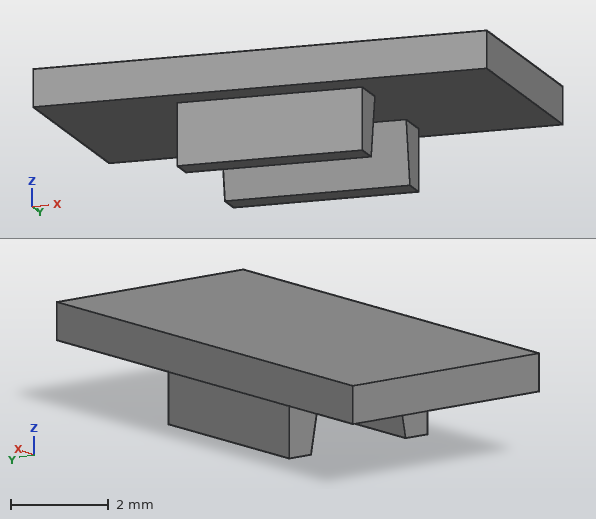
import cadquery as cq

plate_length = 9.8
plate_width = 4.85
plate_thickness = 0.8
total_height = 2.14

leg_length = 4.0
leg_height = total_height - plate_thickness
leg_outer_span = 3.6
leg_root_width = 0.8
leg_tip_width = 0.57


def make_plate():
    """Flat rectangular plate with its underside at Z = 0."""
    return cq.Workplane("XY").box(
        plate_length, plate_width, plate_thickness, centered=(True, True, False)
    )


def make_leg(side):
    """Leg with a vertical outer face and a sloped inner face; side is +1 or -1 along Y."""
    outer_y = leg_outer_span / 2
    profile = [
        (side * outer_y, 0),
        (side * (outer_y - leg_root_width), 0),
        (side * (outer_y - leg_tip_width), -leg_height),
        (side * outer_y, -leg_height),
    ]
    return cq.Workplane("YZ").polyline(profile).close().extrude(leg_length / 2, both=True)


result = make_plate()
for side in (-1, 1):
    result = result.union(make_leg(side))